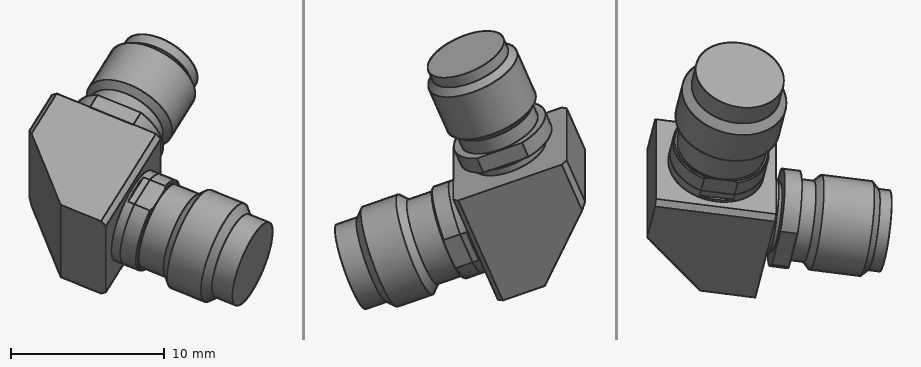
import cadquery as cq

block_size = 7.92
half_block = block_size / 2
corner_cut = 4.63
edge_chamfer = 0.35

collar_radius = 3.17
collar_half_flats = 2.97
boss_length = 0.65
boss_flats_start = 0.18

x_collar_end = 1.88
x_collar_chamfer = 0.1
x_sleeve_radius = 2.92
x_ring_rise = 0.53
x_ring_start = 3.67
x_ring_end = 7.19
x_end = 8.68

y_neck_radius = 2.49
y_neck_length = 0.45
y_nut_radius = 3.2
y_nut_half_flats = 2.79
y_nut_start = 0.73
y_nut_end = 1.86
y_sleeve_radius = 2.67
y_ring_rise = 0.45
y_ring_start = 2.87
y_ring_end = 7.1
y_end = 7.88


def wrench_flats_slab(start, end, half_flats, radius):
    """Slab along +X whose top and bottom faces are the two wrench flats."""
    return cq.Workplane("XY").box(
        end - start, 2 * radius, 2 * half_flats, centered=(False, True, True)
    ).translate((start, 0, 0))


def flatted_disc(start, end, radius, half_flats):
    """Disc along +X with a flat on its top and on its bottom."""
    disc = cq.Workplane("YZ", origin=(start, 0, 0)).circle(radius).extrude(end - start)
    return disc.intersect(wrench_flats_slab(start, end, half_flats, radius))


def ringed_sleeve(start, end, sleeve_radius, ring_start, ring_end, ring_rise):
    """Solid sleeve along +X with a raised ring between two 45 degree shoulders."""
    ring_radius = sleeve_radius + ring_rise
    profile = [
        (start, 0),
        (start, sleeve_radius),
        (ring_start, sleeve_radius),
        (ring_start + ring_rise, ring_radius),
        (ring_end - ring_rise, ring_radius),
        (ring_end, sleeve_radius),
        (end, sleeve_radius),
        (end, 0),
    ]
    return cq.Workplane("XY").polyline(profile).close().revolve(360, (0, 0, 0), (1, 0, 0))


def make_block():
    """Elbow block with its cut corner, chamfered side edges and +X boss."""
    cube = cq.Workplane("XY").box(block_size, block_size, block_size)
    cube = cube.edges("|Y").chamfer(edge_chamfer)

    corner = (
        cq.Workplane("XY", origin=(-half_block, -half_block, -half_block))
        .polyline([(0, 0), (corner_cut, 0), (0, corner_cut)])
        .close()
        .extrude(block_size)
    )

    boss_root = cq.Workplane("YZ").circle(collar_radius).extrude(boss_flats_start)
    boss_tip = flatted_disc(boss_flats_start, boss_length, collar_radius, collar_half_flats)
    boss = boss_root.union(boss_tip).translate((half_block, 0, 0))
    return cube.cut(corner).union(boss)


def make_x_connector():
    """Connector along +X: flatted collar on the end of the boss, then the sleeve."""
    collar = cq.Workplane("YZ", origin=(boss_length, 0, 0)).circle(collar_radius)
    collar = collar.extrude(x_collar_end - boss_length)
    collar = collar.faces(">X").chamfer(x_collar_chamfer)
    collar = collar.intersect(
        wrench_flats_slab(boss_length, x_collar_end, collar_half_flats, collar_radius)
    )
    sleeve = ringed_sleeve(
        x_collar_end, x_end, x_sleeve_radius, x_ring_start, x_ring_end, x_ring_rise
    )
    return collar.union(sleeve).translate((half_block, 0, 0))


def make_y_connector():
    """Connector built along +X, then turned to +Y: tapered neck, flatted nut and sleeve."""
    taper_end_radius = y_neck_radius - (y_nut_start - y_neck_length)
    neck_profile = [
        (0, 0),
        (0, y_neck_radius),
        (y_neck_length, y_neck_radius),
        (y_nut_start, taper_end_radius),
        (y_nut_start, 0),
    ]
    neck = cq.Workplane("XY").polyline(neck_profile).close().revolve(360, (0, 0, 0), (1, 0, 0))
    nut = flatted_disc(y_nut_start, y_nut_end, y_nut_radius, y_nut_half_flats)
    sleeve = ringed_sleeve(
        y_nut_end, y_end, y_sleeve_radius, y_ring_start, y_ring_end, y_ring_rise
    )
    connector = neck.union(nut).union(sleeve)
    return connector.rotate((0, 0, 0), (0, 0, 1), 90).translate((0, half_block, 0))


block = make_block()
x_connector = make_x_connector()
y_connector = make_y_connector()

result = cq.Compound.makeCompound(
    [block.solids().val(), x_connector.solids().val(), y_connector.solids().val()]
)